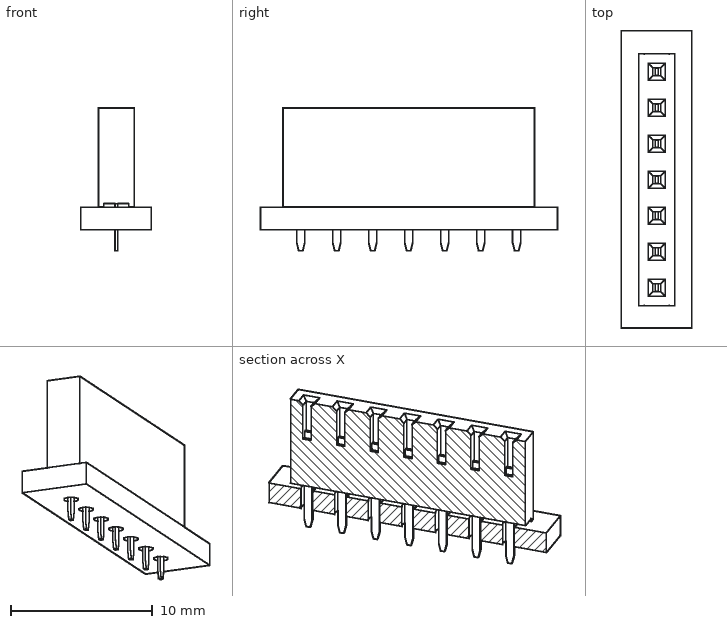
import cadquery as cq

board_width = 5.0
board_length = 21.0
board_thickness = 1.6

contact_count = 7
pitch = 2.55
contact_ys = [(index - (contact_count - 1) / 2) * pitch for index in range(contact_count)]

housing_width = pitch
housing_length = contact_count * pitch
housing_height = 7.0
foot_width = 0.4
foot_height = 0.23

connector_shift_x = 0.02
connector_shift_y = -0.02
seat_gap = 0.02

mouth_size = 1.22
shaft_size = 0.59
funnel_depth = 0.3
socket_depth = 3.0

blade_thickness = 0.2
blade_width = 0.59
blade_tip_width = 0.3
blade_taper_length = 0.59
tail_length = 1.5
contact_end_width = 0.52
contact_end_height = 0.5

board_hole_diameter = 1.0


def make_board():
    """Flat board with one round through hole for each contact."""
    plate = cq.Workplane("XY").box(
        board_width, board_length, board_thickness, centered=(True, True, False)
    )
    plate = plate.translate((0, 0, -board_thickness))
    hole_points = [(0, y) for y in contact_ys]
    return plate.faces(">Z").workplane().pushPoints(hole_points).hole(board_hole_diameter)


def make_housing_block():
    """Plain block that stands on two feet, with a channel between them along Y."""
    block = cq.Workplane("XY").box(
        housing_width, housing_length, housing_height, centered=(True, True, False)
    )
    channel = cq.Workplane("XY").box(
        housing_width - 2 * foot_width, housing_length, foot_height, centered=(True, True, False)
    )
    return block.cut(channel)


def make_socket_cutter(y):
    """Square shaft with a funnel at its mouth, hanging from the housing's top face."""
    mouth = cq.Workplane("XY", origin=(0, y, housing_height))
    funnel = (
        mouth.rect(mouth_size, mouth_size)
        .workplane(offset=-funnel_depth)
        .rect(shaft_size, shaft_size)
        .loft(ruled=True)
    )
    shaft = mouth.rect(shaft_size, shaft_size).extrude(-socket_depth)
    return funnel.union(shaft)


def make_tail(y):
    """Blade from the channel roof down through the board, tapering to its tip."""
    tip_z = -(seat_gap + board_thickness + tail_length)
    taper_z = tip_z + blade_taper_length
    outline = [
        (y - blade_width / 2, foot_height),
        (y - blade_width / 2, taper_z),
        (y - blade_tip_width / 2, tip_z),
        (y + blade_tip_width / 2, tip_z),
        (y + blade_width / 2, taper_z),
        (y + blade_width / 2, foot_height),
    ]
    return cq.Workplane("YZ").polyline(outline).close().extrude(blade_thickness / 2, both=True)


def make_contact_end(y):
    """Narrow upper end of a blade, standing on the floor of its socket."""
    floor_z = housing_height - socket_depth
    return cq.Workplane("XY", origin=(0, y, floor_z)).rect(
        blade_thickness, contact_end_width
    ).extrude(contact_end_height)


def make_connector():
    """Housing and its fixed contacts, as one solid in its place on the board."""
    connector = make_housing_block()
    for y in contact_ys:
        connector = connector.cut(make_socket_cutter(y))
        connector = connector.union(make_contact_end(y))
        connector = connector.union(make_tail(y))
    return connector.translate((connector_shift_x, connector_shift_y, seat_gap))


board = make_board()
connector = make_connector()

result = cq.Compound.makeCompound([board.val(), connector.val()])